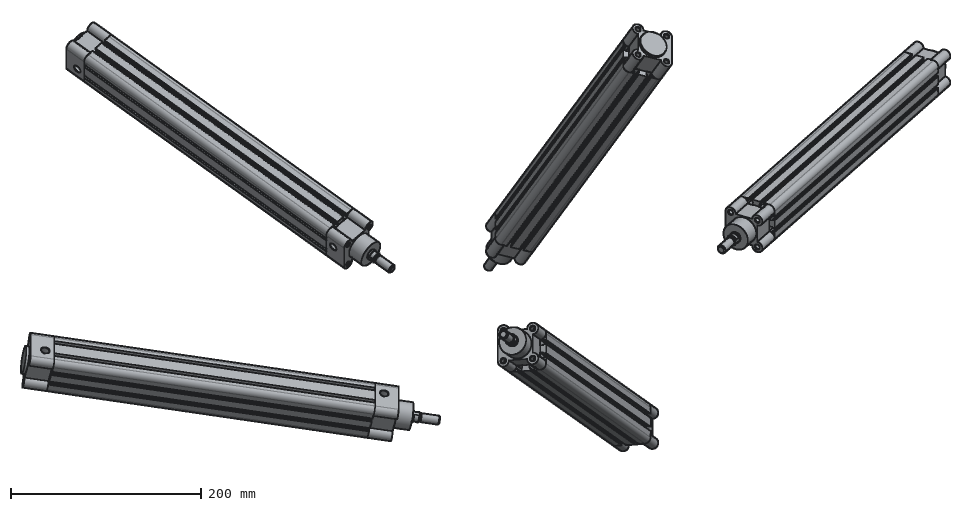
import cadquery as cq
import math

TOTAL_LENGTH = 446.0
SECTION_SIZE = 45.0
CORNER_RADIUS = 6.2

REAR_CAP_START = 3.0
CAP_LENGTH = 25.5
FRONT_CAP_END = 398.0
BOSS_END = 415.2
TUBE_START = REAR_CAP_START + CAP_LENGTH
TUBE_END = FRONT_CAP_END - CAP_LENGTH

COLLAR_DIAMETER = 30.0
BOLT_HOLE_DIAMETER = 5.0
BOLT_CHAMFER = 0.65
BOLT_HOLE_DEPTH = 9.0
PORT_DIAMETER = 8.5
PORT_CHAMFER = 0.5
PORT_DEPTH = 9.0
PORT_INSET = 15.5
PORT_OFFSET = 5.0

SLOT_RIB_HALF_WIDTH = 5.0
SLOT_MOUTH_WIDTH = 4.5
SLOT_LIP = 2.0
SLOT_TAPER = 2.0
SLOT_DEPTH = 6.5
SLOT_UNDERCUT = 1.0
GROOVE_OFFSET = 9.5
GROOVE_WIDTH = 4.0
GROOVE_FLOOR_WIDTH = 3.0
GROOVE_DEPTH = 3.5

ROD_DIAMETER = 12.0
FLATS_WIDTH = 10.0
FLATS_START = 416.5
NECK_DIAMETER = 10.5
NECK_START = 418.0
NECK_END = 423.3
SHOULDER_END = 424.5
RELIEF_DIAMETER = 9.0
RELIEF_END = 426.0
THREAD_DIAMETER = 10.0
TIP_CHAMFER = 1.5

HALF_SECTION = SECTION_SIZE / 2
BOLT_OFFSET = HALF_SECTION - CORNER_RADIUS
BOLT_POINTS = [(y, z) for y in (-BOLT_OFFSET, BOLT_OFFSET) for z in (-BOLT_OFFSET, BOLT_OFFSET)]


def section_plane(x):
    """Workplane across the cylinder at station x: local x is Y, local y is Z."""
    return cq.Workplane("YZ", origin=(x, 0, 0))


def rod_section(start, end, diameter):
    return section_plane(start).circle(diameter / 2).extrude(end - start)


def rounded_block(start, length):
    """Square section with all four long edges rounded."""
    block = section_plane(start).rect(SECTION_SIZE, SECTION_SIZE).extrude(length)
    return block.edges("|X").fillet(CORNER_RADIUS)


def make_cap(start):
    """Cap with a round lobe at each bolt, cut back to the bolt lines on all but the -Y side."""
    bolt = BOLT_OFFSET
    lobe_edge = bolt - CORNER_RADIUS
    bulge = bolt + CORNER_RADIUS * math.sqrt(0.5)
    outline = (
        section_plane(start)
        .moveTo(-HALF_SECTION, -bolt)
        .lineTo(-HALF_SECTION, bolt)
        .threePointArc((-bulge, bulge), (-lobe_edge, bolt))
        .lineTo(lobe_edge, bolt)
        .threePointArc((bulge, bulge), (bolt, lobe_edge))
        .lineTo(bolt, -lobe_edge)
        .threePointArc((bulge, -bulge), (lobe_edge, -bolt))
        .lineTo(-lobe_edge, -bolt)
        .threePointArc((-bulge, -bulge), (-HALF_SECTION, -bolt))
        .close()
    )
    return outline.extrude(CAP_LENGTH)


def chamfered_hole(mouth, diameter, depth, chamfer):
    """Blind hole with a chamfered mouth; mouth is a workplane whose normal points into the part."""
    bore = mouth.circle(diameter / 2).extrude(depth)
    countersink = mouth.circle(diameter / 2 + chamfer).extrude(chamfer, taper=45)
    return bore.union(countersink)


def bolt_holes(face_x, direction):
    """Bolt holes sunk from an outer cap face; direction is +1 or -1 along X."""
    holes = cq.Workplane("YZ")
    for y, z in BOLT_POINTS:
        mouth = cq.Workplane(cq.Plane((face_x, y, z), xDir=(0, 1, 0), normal=(direction, 0, 0)))
        holes = holes.union(chamfered_hole(mouth, BOLT_HOLE_DIAMETER, BOLT_HOLE_DEPTH, BOLT_CHAMFER))
    return holes


def port_hole(x, z):
    """Air port entering from the -Y side."""
    mouth = cq.Workplane(cq.Plane((x, -HALF_SECTION, z), xDir=(1, 0, 0), normal=(0, 1, 0)))
    return chamfered_hole(mouth, PORT_DIAMETER, PORT_DEPTH, PORT_CHAMFER)


def make_rear_cap():
    cap = make_cap(REAR_CAP_START)
    cap = cap.union(rod_section(0, REAR_CAP_START, COLLAR_DIAMETER))
    cap = cap.cut(bolt_holes(REAR_CAP_START, 1))
    return cap.cut(port_hole(REAR_CAP_START + PORT_INSET, -PORT_OFFSET))


def make_front_cap():
    cap = make_cap(TUBE_END)
    cap = cap.union(rod_section(FRONT_CAP_END, BOSS_END, COLLAR_DIAMETER))
    cap = cap.cut(bolt_holes(FRONT_CAP_END, -1))
    return cap.cut(port_hole(FRONT_CAP_END - PORT_INSET, PORT_OFFSET))


def undercut_slot():
    """Slot in the +Z face on its +Y half, wider below its lips."""
    inner = SLOT_RIB_HALF_WIDTH
    outer = inner + SLOT_MOUTH_WIDTH
    lip_z = HALF_SECTION - SLOT_LIP
    floor_z = HALF_SECTION - SLOT_DEPTH
    profile = [
        (inner, HALF_SECTION),
        (inner, lip_z),
        (inner - SLOT_UNDERCUT, lip_z - SLOT_TAPER),
        (inner - SLOT_UNDERCUT, floor_z),
        (outer + SLOT_UNDERCUT, floor_z),
        (outer + SLOT_UNDERCUT, lip_z - SLOT_TAPER),
        (outer, lip_z),
        (outer, HALF_SECTION),
    ]
    return section_plane(TUBE_START).polyline(profile).close().extrude(TUBE_END - TUBE_START)


def tapered_groove():
    """Shallow groove in the -Y face above the axis, narrowing towards its floor."""
    floor_y = GROOVE_DEPTH - HALF_SECTION
    profile = [
        (-HALF_SECTION, GROOVE_OFFSET - GROOVE_WIDTH / 2),
        (floor_y, GROOVE_OFFSET - GROOVE_FLOOR_WIDTH / 2),
        (floor_y, GROOVE_OFFSET + GROOVE_FLOOR_WIDTH / 2),
        (-HALF_SECTION, GROOVE_OFFSET + GROOVE_WIDTH / 2),
    ]
    return section_plane(TUBE_START).polyline(profile).close().extrude(TUBE_END - TUBE_START)


def make_tube():
    """Profile tube with slot pairs on three sides and a tapered groove pair on the -Y side."""
    tube = rounded_block(TUBE_START, TUBE_END - TUBE_START)
    slot = undercut_slot()
    slot_pair = slot.union(slot.mirror("XZ"))
    for angle in (0, -90, 180):
        tube = tube.cut(slot_pair.rotate((0, 0, 0), (1, 0, 0), angle))
    groove = tapered_groove()
    return tube.cut(groove).cut(groove.mirror("XY"))


def make_piston_rod():
    """Rod end with a necked pair of wrench flats facing +/-Y and a chamfered thread stud."""
    rod_radius = ROD_DIAMETER / 2
    neck_radius = NECK_DIAMETER / 2
    relief_radius = RELIEF_DIAMETER / 2
    thread_radius = THREAD_DIAMETER / 2
    half_profile = [
        (BOSS_END, 0),
        (BOSS_END, rod_radius),
        (NECK_START, rod_radius),
        (NECK_START, neck_radius),
        (NECK_END, neck_radius),
        (NECK_END, rod_radius),
        (SHOULDER_END, relief_radius),
        (RELIEF_END, relief_radius),
        (RELIEF_END, thread_radius),
        (TOTAL_LENGTH - TIP_CHAMFER, thread_radius),
        (TOTAL_LENGTH, thread_radius - TIP_CHAMFER),
        (TOTAL_LENGTH, 0),
    ]
    rod = cq.Workplane("XY").polyline(half_profile).close().revolve(360, (0, 0, 0), (1, 0, 0))
    flats_length = SHOULDER_END - FLATS_START
    flats_envelope = section_plane(FLATS_START).rect(ROD_DIAMETER, ROD_DIAMETER).extrude(flats_length)
    between_flats = section_plane(FLATS_START).rect(FLATS_WIDTH, ROD_DIAMETER).extrude(flats_length)
    return rod.cut(flats_envelope.cut(between_flats))


rear_cap = make_rear_cap()
tube = make_tube()
front_cap = make_front_cap()
piston_rod = make_piston_rod()

result = cq.Compound.makeCompound([rear_cap.val(), tube.val(), front_cap.val(), piston_rod.val()])